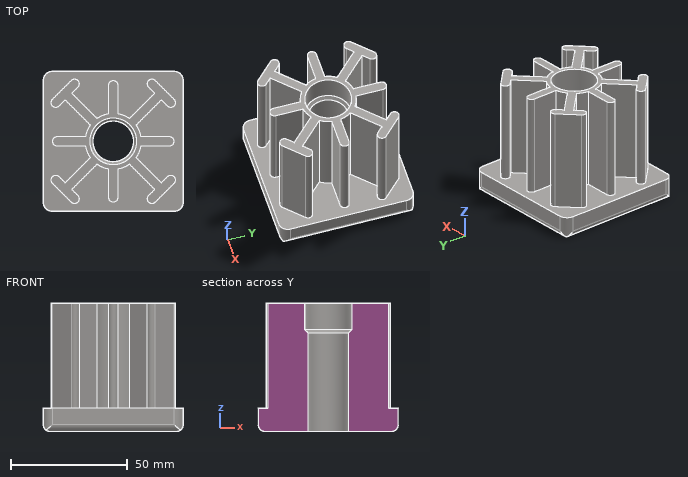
import cadquery as cq

plate_side = 60.0
plate_height = 10.0
corner_radius = 4.0
bottom_edge_radius = 3.0

total_height = 55.0
hub_diameter = 24.0
bore_diameter = 20.0
through_hole_diameter = 17.3
bore_depth = 11.4
cone_height = (bore_diameter - through_hole_diameter) / 2

wall = 4.0
straight_rib_reach = 26.0
flange_distance = 29.1
flange_length = 15.4

insert_height = total_height - plate_height


def rounded_bar(plane):
    """Square bar through the plate, with rounded lower long edges."""
    bar = cq.Workplane(plane).rect(plate_side, plate_height).extrude(plate_side / 2, both=True)
    bar = bar.translate((0, 0, plate_height / 2))
    along = "|Y" if plane == "XZ" else "|X"
    return bar.faces("<Z").edges(along).fillet(bottom_edge_radius)


def make_plate():
    """Crossed rounded bars meet in mitres, trimmed by the rounded vertical corners."""
    block = cq.Workplane("XY").rect(plate_side, plate_side).extrude(plate_height)
    block = block.edges("|Z").fillet(corner_radius)
    return block.intersect(rounded_bar("XZ")).intersect(rounded_bar("YZ"))


def insert_plane():
    return cq.Workplane("XY").workplane(offset=plate_height)


def straight_rib_pair(angle):
    """One round-ended wall across the hub, forming two opposite ribs."""
    return insert_plane().slot2D(2 * straight_rib_reach, wall, angle).extrude(insert_height)


def diagonal_rib(angle):
    """T-shaped rib along +X with a round-ended flange, turned to its angle."""
    web = insert_plane().center(flange_distance / 2, 0).rect(flange_distance, wall).extrude(insert_height)
    flange = insert_plane().center(flange_distance, 0).slot2D(flange_length, wall, 90).extrude(insert_height)
    return web.union(flange).rotate((0, 0, 0), (0, 0, 1), angle)


def make_bore():
    """Wide upper bore, conical step and narrower through hole."""
    cone_top = total_height - bore_depth
    cone_bottom = cone_top - cone_height
    profile = [
        (0, 0),
        (through_hole_diameter / 2, 0),
        (through_hole_diameter / 2, cone_bottom),
        (bore_diameter / 2, cone_top),
        (bore_diameter / 2, total_height),
        (0, total_height),
    ]
    return cq.Workplane("XZ").polyline(profile).close().revolve(360, (0, 0, 0), (0, 1, 0))


body = make_plate()
body = body.union(insert_plane().circle(hub_diameter / 2).extrude(insert_height))
for angle in (0, 90):
    body = body.union(straight_rib_pair(angle))
for angle in (45, 135, 225, 315):
    body = body.union(diagonal_rib(angle))

result = body.cut(make_bore())